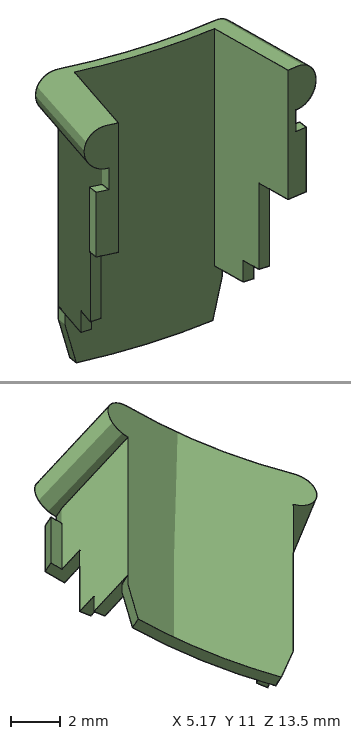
import cadquery as cq
import math


wall_height = 13.5
wall_half_width = 3.75
wall_thickness = 0.5
taper_start_depth = 11.6
lip_bottom_half_width = 3.25

arm_angle = 9.0
arm_length = 5.0
arm_thickness = 0.5
upper_tier_depth = 6.0
middle_tier_depth = 10.0
lower_tier_depth = 11.0
middle_tier_reach = 3.25
lower_tier_reach = 2.3

bead_radius = 1.0

tip_land_length = 0.5
tab_top_depth = 3.0
tab_face_y = 5.0

sin_a = math.sin(math.radians(arm_angle))
cos_a = math.cos(math.radians(arm_angle))
wall_outer_radius = wall_half_width / sin_a
wall_inner_radius = wall_outer_radius + wall_thickness
wall_centre_x = -wall_outer_radius * cos_a


def arm_point(along, outward):
    """Plan point at a distance along the +Y arm's outer face and square out from it."""
    return (
        along * cos_a - outward * sin_a,
        wall_half_width + along * sin_a + outward * cos_a,
    )


def arm_point_at_x(x, outward):
    """Plan point with a given X on a line parallel to the arm's outer face."""
    return arm_point((x + outward * sin_a) / cos_a, outward)


def tip_point_at_y(y):
    """Plan point with a given Y on the end plane of the arm."""
    return arm_point(arm_length, (y - wall_half_width - arm_length * sin_a) / cos_a)


def slab(points, top_depth, bottom_depth):
    """Plan polygon extruded between two depths below the top edge."""
    return (
        cq.Workplane("XY")
        .workplane(offset=-bottom_depth)
        .polyline(points)
        .close()
        .extrude(bottom_depth - top_depth)
    )


def wall_disc(radius):
    """Full-height cylinder about the centre of the wall curve."""
    return cq.Workplane("XY").center(wall_centre_x, 0).circle(radius).extrude(-wall_height)


def make_wall():
    """Curved wall, trimmed to its straight sides and tapered lower lip."""
    side_outline = (
        cq.Workplane("YZ")
        .polyline([
            (-wall_half_width, 0),
            (wall_half_width, 0),
            (wall_half_width, -taper_start_depth),
            (lip_bottom_half_width, -wall_height),
            (-lip_bottom_half_width, -wall_height),
            (-wall_half_width, -taper_start_depth),
        ])
        .close()
        .extrude(arm_length, both=True)
    )
    ring = wall_disc(wall_inner_radius).cut(wall_disc(wall_outer_radius))
    return ring.intersect(side_outline)


def make_arm():
    """Stepped +Y arm; below the bead its tip is cut back to a land parallel to X."""
    outer_root = arm_point(0, 0)
    inner_root = arm_point(0, -arm_thickness)
    land_start = arm_point(arm_length - tip_land_length, 0)
    land_end = tip_point_at_y(land_start[1])
    inner_tip = arm_point(arm_length, -arm_thickness)
    arm = slab([outer_root, land_start, land_end, inner_tip, inner_root], 0, upper_tier_depth)

    outer_tip = arm_point(arm_length, 0)
    arm = arm.union(slab([outer_root, outer_tip, inner_tip, inner_root], 0, 2 * bead_radius))

    for reach, depth in (
        (middle_tier_reach, middle_tier_depth),
        (lower_tier_reach, lower_tier_depth),
    ):
        outer_step = arm_point_at_x(reach, 0)
        inner_step = arm_point_at_x(reach, -arm_thickness)
        arm = arm.union(slab([outer_root, outer_step, inner_step, inner_root], 0, depth))
    return arm


def make_bead():
    """Half-round bead on the outer face of the +Y arm, flush with the top edge."""
    section = cq.Plane(
        origin=(0, wall_half_width, -bead_radius),
        xDir=(-sin_a, cos_a, 0),
        normal=(cos_a, sin_a, 0),
    )
    return (
        cq.Workplane(section)
        .moveTo(0, -bead_radius)
        .threePointArc((bead_radius, 0), (0, bead_radius))
        .close()
        .extrude(arm_length)
    )


def make_tab():
    """Tab standing out from the tip of the +Y arm, with its face parallel to the X axis."""
    tab_start = arm_length - tip_land_length
    root_y = arm_point(tab_start, 0)[1]
    face_start = arm_point(tab_start, (tab_face_y - root_y) / cos_a)
    outline = [
        arm_point(tab_start, -arm_thickness),
        face_start,
        tip_point_at_y(tab_face_y),
        arm_point(arm_length, -arm_thickness),
    ]
    return slab(outline, tab_top_depth, upper_tier_depth)


side = make_arm().union(make_bead()).union(make_tab())
result = make_wall().union(side).union(side.mirror("XZ"))